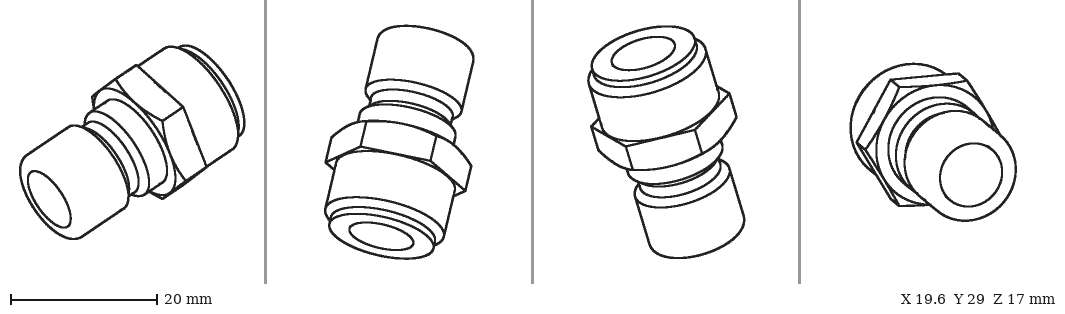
import cadquery as cq
import math

total_length = 29.0
groove_start = 8.5
groove_floor_width = 1.7
step_bevel = 1.02
hex_front = 15.5
hex_back = 20.0
rear_lip_length = 1.02

plug_diameter = 13.5
groove_diameter = plug_diameter - 2 * step_bevel
rear_diameter = 16.7
rear_lip_diameter = rear_diameter - 2 * step_bevel
bore_diameter = 9.0
nose_radius = 1.0
hex_across_flats = 17.0
hex_bevel_angle = 30.0

hex_across_corners = hex_across_flats / math.cos(math.radians(30))


def turned_body():
    """Plug, groove and rear collar, revolved about the Y axis."""
    plug_r = plug_diameter / 2
    groove_r = groove_diameter / 2
    rear_r = rear_diameter / 2
    lip_r = rear_lip_diameter / 2
    floor_start = groove_start + step_bevel
    floor_end = floor_start + groove_floor_width
    lip_start = total_length - rear_lip_length
    profile = (
        cq.Workplane("XY")
        .lineTo(plug_r - nose_radius, 0)
        .radiusArc((plug_r, nose_radius), -nose_radius)
        .lineTo(plug_r, groove_start)
        .lineTo(groove_r, floor_start)
        .lineTo(groove_r, floor_end)
        .lineTo(plug_r, floor_end + step_bevel)
        .lineTo(plug_r, hex_back)
        .lineTo(rear_r, hex_back)
        .lineTo(rear_r, lip_start - step_bevel)
        .lineTo(lip_r, lip_start)
        .lineTo(lip_r, total_length)
        .lineTo(0, total_length)
        .close()
    )
    return profile.revolve(360, (0, 0, 0), (0, 1, 0))


def hexagon():
    """Wrench hexagon with corners on X and its front corners bevelled by a cone."""
    prism = (
        cq.Workplane("XZ", origin=(0, hex_back, 0))
        .polygon(6, hex_across_corners)
        .extrude(hex_back - hex_front)
    )
    face_r = hex_across_flats / 2
    cone_r = hex_across_corners
    cone_depth = (cone_r - face_r) * math.tan(math.radians(hex_bevel_angle))
    bevel_envelope = (
        cq.Workplane("XY")
        .moveTo(0, hex_front)
        .lineTo(face_r, hex_front)
        .lineTo(cone_r, hex_front + cone_depth)
        .lineTo(cone_r, total_length)
        .lineTo(0, total_length)
        .close()
        .revolve(360, (0, 0, 0), (0, 1, 0))
    )
    return prism.intersect(bevel_envelope)


def bore():
    """Straight through bore along Y."""
    return cq.Workplane("XZ").circle(bore_diameter / 2).extrude(-total_length)


result = turned_body().union(hexagon()).cut(bore())